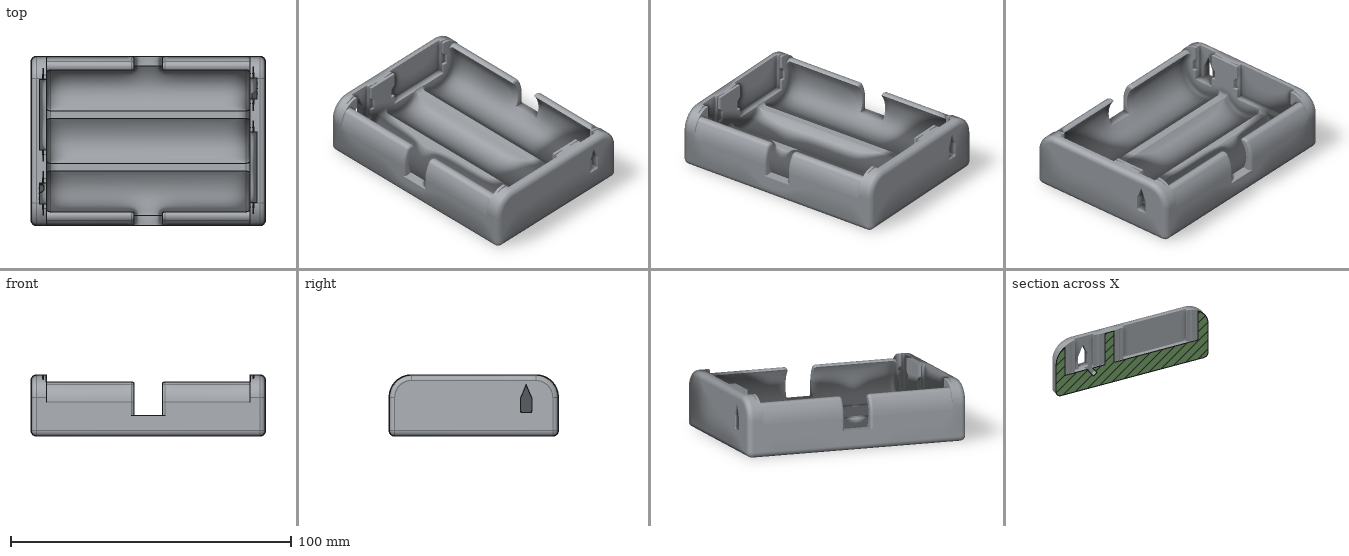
import cadquery as cq
import math


length = 83.6
width = 60.4
height = 21.8
edge_radius = 2.0
shoulder_radius = 8.0
cap_thickness = 5.5

cell_radius = 9.3
cell_pitch = 18.7
cell_axis_z = 12.2
ridge_z = 7.4
cell_end_radius = 1.5

wall_outer_radius = width / 2 - cell_pitch
wall_top_z = 19.35
wall_tip_radius = 2.0

notch_width = 10.0
notch_edge_radius = 1.0

pocket_back = 3.0
pocket_floor_z = 8.4
short_pocket_half_width = 3.75
long_pocket_overhang = 3.2
slot_back = 4.0
slot_narrow_back = 4.2
slot_front = 4.5
slot_reach = 4.0
slot_wide_reach = 1.3
slot_taper_end = 1.9
lip_notch_depth = 1.6
lip_notch_bottom_z = 12.1
lip_notch_top_z = 17.1

exit_width = 4.0
exit_shoulder_z = 13.5
exit_tip_z = 18.3
exit_corner_radius = 0.6

wire_diameter = 2.5
wire_tilt = 35
wire_depth = 3.0
wire_inset = 3.4
wire_start_y = -16.8
ramp_front = 4.75
ramp_long_side = 2.8
ramp_short_side = 1.95
ramp_slope = 15

clearance = 2.0
tolerance = 0.01

cavity_length = length - 2 * cap_thickness
end_x = -length / 2


def block(x_range, y_range, z_range):
    """Box between the given limits."""
    sizes = [high - low for low, high in (x_range, y_range, z_range)]
    corner = (x_range[0], y_range[0], z_range[0])
    return cq.Workplane("XY").box(*sizes, centered=False).translate(corner)


def along_x(profile, x_start, x_end):
    """Place a YZ sketch so that its extrusion fills x_start to x_end."""
    return profile.extrude(x_end - x_start).translate((x_start, 0, 0))


def rounded_body():
    """Solid block with the shoulders, ends and bottom rounded."""
    body = cq.Workplane("XY").box(length, width, height, centered=(True, True, False))
    body = body.edges("|X and >Z").fillet(shoulder_radius)
    return body.faces("<X or >X or <Z").edges().fillet(edge_radius)


def side_wall():
    """Curved wall on the +Y side with a rounded tip, solid on its inner side."""
    tip_z = wall_top_z - wall_tip_radius
    tip_orbit = wall_outer_radius - wall_tip_radius
    tip_angle = math.asin((tip_z - cell_axis_z) / tip_orbit)
    tip_y = cell_pitch + tip_orbit * math.cos(tip_angle)

    def on_wall(angle):
        return (cell_pitch + wall_outer_radius * math.cos(angle),
                cell_axis_z + wall_outer_radius * math.sin(angle))

    profile = (
        cq.Workplane("YZ")
        .moveTo(*on_wall(0))
        .threePointArc(on_wall(tip_angle / 2), on_wall(tip_angle))
        .threePointArc((tip_y, wall_top_z), (tip_y - wall_tip_radius, tip_z))
        .lineTo(tip_y - wall_tip_radius, cell_axis_z)
        .close()
    )
    return along_x(profile, -cavity_length / 2, cavity_length / 2)


def shape_side_walls(body):
    """Lower the body between the caps, leaving the two curved walls."""
    half = cavity_length / 2
    side = width / 2 + clearance
    waste = block((-half, half), (-side, side), (cell_axis_z, height + clearance))
    wall = side_wall()
    return body.cut(waste.cut(wall).cut(wall.mirror("XZ")))


def cut_side_notches(body):
    """Open both side walls at mid-length and round the outer edges of the openings."""
    half = notch_width / 2
    side = width / 2 + clearance
    body = body.cut(block((-half, half), (-side, side), (ridge_z, height)))
    for x in (-half, half):
        for side_y in (-width / 2, width / 2):
            inner_y = math.copysign(cell_pitch + cell_radius / 2, side_y)
            edge_region = cq.selectors.BoxSelector(
                (x - tolerance, side_y + math.copysign(tolerance, side_y), ridge_z + tolerance),
                (x + tolerance, inner_y, height),
            )
            body = body.edges(edge_region).fillet(notch_edge_radius)
    return body


def cell_cavity():
    """Three troughs and the open space above them, rounded at the ends."""
    start, end = -cavity_length / 2, cavity_length / 2
    top = height + 2 * cell_radius
    cavity = block((start, end), (-cell_pitch, cell_pitch), (ridge_z, top))
    for row in (-1, 0, 1):
        trough = cq.Workplane("YZ").center(row * cell_pitch, cell_axis_z).circle(cell_radius)
        cavity = cavity.union(along_x(trough, start, end))
    return cavity.clean().faces("<X or >X").edges().fillet(cell_end_radius)


def contact_pocket(y_low, y_high):
    """Pocket in the -X cap with a contact slot and a notched lip on each side."""
    inner = end_x + cap_thickness
    top = height + clearance
    pocket = block((end_x + pocket_back, inner + tolerance), (y_low, y_high), (pocket_floor_z, top))
    for y, outward in ((y_low, -1), (y_high, 1)):
        slot = (
            cq.Workplane("XY")
            .polyline([
                (end_x + slot_front, y),
                (end_x + slot_front, y + outward * slot_reach),
                (end_x + slot_narrow_back, y + outward * slot_reach),
                (end_x + slot_narrow_back, y + outward * slot_taper_end),
                (end_x + slot_back, y + outward * slot_wide_reach),
                (end_x + slot_back, y),
            ])
            .close()
            .extrude(top - pocket_floor_z)
            .translate((0, 0, pocket_floor_z))
        )
        lip_notch = cq.Workplane("YZ").polyline([
            (y, lip_notch_bottom_z),
            (y + outward * lip_notch_depth, lip_notch_bottom_z),
            (y + outward * lip_notch_depth, lip_notch_top_z - lip_notch_depth),
            (y, lip_notch_top_z),
        ]).close()
        pocket = pocket.union(slot).union(along_x(lip_notch, end_x + slot_front, inner))
    return pocket


def wire_exit():
    """Pointed opening through the -X end face into the short pocket."""
    half = exit_width / 2
    profile = cq.Workplane("YZ").center(-cell_pitch, 0).polyline([
        (-half, pocket_floor_z),
        (half, pocket_floor_z),
        (half, exit_shoulder_z),
        (0, exit_tip_z),
        (-half, exit_shoulder_z),
    ]).close()
    opening = along_x(profile, end_x - clearance, end_x + pocket_back)
    return opening.edges("|X and <Z").fillet(exit_corner_radius)


def wire_bore():
    """Tilted blind bore below the floor of the short pocket in the -X cap."""
    length_above_floor = wire_diameter
    bore = (
        cq.Workplane("XY")
        .circle(wire_diameter / 2)
        .extrude(wire_depth / math.cos(math.radians(wire_tilt)) + length_above_floor)
        .translate((0, 0, -length_above_floor))
        .rotate((0, 0, 0), (1, 0, 0), 180 + wire_tilt)
        .translate((end_x + wire_inset, wire_start_y, pocket_floor_z))
    )
    below_floor = block((end_x + pocket_back, end_x + cap_thickness),
                        (-width / 2, -cell_pitch + short_pocket_half_width + wire_depth),
                        (0, pocket_floor_z))
    return bore.intersect(below_floor)


def wire_ramp():
    """Sloping relief below the floor of the short pocket, with a slanted upper edge."""
    pocket_side = -cell_pitch + short_pocket_half_width
    back = end_x + pocket_back
    front = end_x + ramp_front
    footprint = (
        cq.Workplane("XY")
        .polyline([
            (back, pocket_side),
            (back, pocket_side - ramp_long_side),
            (front, pocket_side - ramp_short_side),
            (front, pocket_side),
        ])
        .close()
        .extrude(pocket_floor_z)
    )
    slant = math.degrees(math.atan2(ramp_long_side - ramp_short_side, front - back))
    drop = ramp_long_side * math.tan(math.radians(ramp_slope))
    slope = cq.Workplane("YZ").polyline([(0, 0), (ramp_long_side, 0), (ramp_long_side, -drop)]).close()
    wedge = (
        along_x(slope, -cap_thickness, cap_thickness)
        .rotate((0, 0, 0), (0, 0, 1), slant)
        .translate((back, pocket_side - ramp_long_side, pocket_floor_z))
    )
    return wedge.intersect(footprint)


def cap_openings():
    """Openings shared by both caps, placed in the -X cap."""
    short_pocket = contact_pocket(-cell_pitch - short_pocket_half_width,
                                  -cell_pitch + short_pocket_half_width)
    long_pocket = contact_pocket(-long_pocket_overhang, cell_pitch + long_pocket_overhang)
    return short_pocket.union(long_pocket).union(wire_exit())


def half_turn(shape):
    """Carry a shape from the -X cap to the +X cap."""
    return shape.rotate((0, 0, 0), (0, 0, 1), 180)


holder = rounded_body()
holder = shape_side_walls(holder)
holder = cut_side_notches(holder)
holder = holder.cut(cell_cavity())

openings = cap_openings()
holder = holder.cut(openings).cut(wire_bore())
holder = holder.cut(half_turn(openings)).cut(half_turn(wire_ramp()))

result = holder